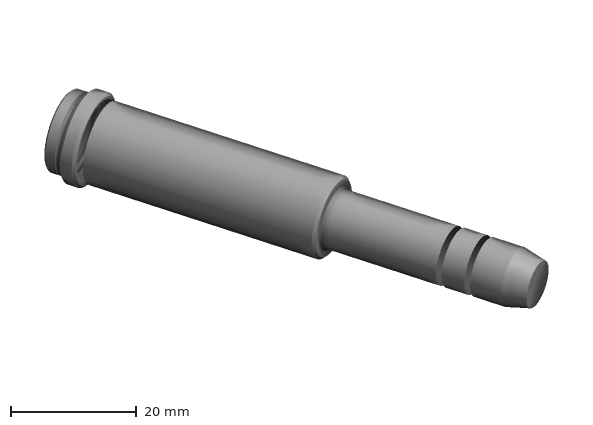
import cadquery as cq

total_length = 84.0
body_diameter = 14.0
collar_diameter = 16.0
shaft_diameter = 10.0
tip_diameter = 8.0

collar_start = 3.0
collar_end = 6.0
shoulder_end = 48.0
shaft_groove_centers = (69.0, 74.0)
taper_start = 80.0

head_chamfer = 0.3
edge_chamfer = 0.5
groove_radius = 0.5
shoulder_fillet = 0.5

body_radius = body_diameter / 2
collar_radius = collar_diameter / 2
shaft_radius = shaft_diameter / 2


def cylinder(start, end, radius):
    """Solid cylinder on the X axis between two places."""
    return cq.Workplane("YZ", origin=(start, 0, 0)).circle(radius).extrude(end - start)


def round_groove(center, surface_radius):
    """Ring of round section, centered on a cylindrical surface."""
    return (
        cq.Workplane("XY")
        .center(center, surface_radius)
        .circle(groove_radius)
        .revolve(360, (0, -surface_radius, 0), (1, -surface_radius, 0))
    )


body = (
    cylinder(0, shoulder_end, body_radius)
    .faces("<X").chamfer(head_chamfer)
    .faces(">X").chamfer(edge_chamfer)
)

collar = cylinder(collar_start, collar_end, collar_radius).edges().chamfer(edge_chamfer)

head = body.union(collar)
for groove_center in (collar_start - groove_radius, collar_end + groove_radius):
    head = head.cut(round_groove(groove_center, body_radius))

fillet_end = shoulder_end + shoulder_fillet
shaft = (
    cq.Workplane("XY")
    .moveTo(shoulder_end, 0)
    .lineTo(shoulder_end, shaft_radius + shoulder_fillet)
    .radiusArc((fillet_end, shaft_radius), -shoulder_fillet)
    .lineTo(taper_start, shaft_radius)
    .lineTo(total_length, tip_diameter / 2)
    .lineTo(total_length, 0)
    .close()
    .revolve(360, (0, 0, 0), (1, 0, 0))
)

for groove_center in shaft_groove_centers:
    shaft = shaft.cut(round_groove(groove_center, shaft_radius))

result = head.union(shaft)